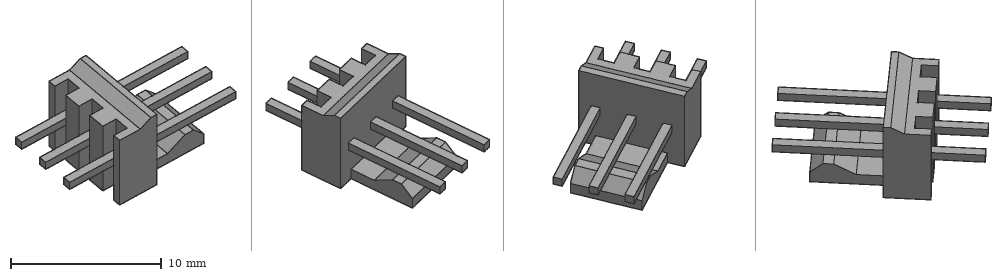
import cadquery as cq

pin_count = 3
pin_pitch = 2.54
pin_size = 0.64
pin_length = 14.22
pin_tail = 3.56
pin_height = 3.15

housing_width = 7.49
housing_depth = 3.18
housing_height = 6.35
lip_depth = 0.5
lip_rise = 0.51
lip_slope_depth = 0.92

slot_width = 1.16
slot_depth = 1.14

ramp_width = 5.08
ramp_length = 5.0
shelf_height = 0.86
catch_height = 1.71
catch_lead_in = 0.89
catch_flat = 0.72
catch_back_slope = 1.5

pin_positions = [(i - (pin_count - 1) / 2) * pin_pitch for i in range(pin_count)]


def extrude_across(outline, width):
    """Extrude a (y, z) outline along X, centred on x = 0."""
    return cq.Workplane("YZ").polyline(outline).close().extrude(width / 2, both=True)


def make_housing():
    shoulder_height = housing_height - lip_rise
    lip_front = housing_depth - lip_depth
    outline = [
        (0, 0),
        (housing_depth, 0),
        (housing_depth, housing_height),
        (lip_front, housing_height),
        (lip_front - lip_slope_depth, shoulder_height),
        (0, shoulder_height),
    ]
    return extrude_across(outline, housing_width)


def make_locking_ramp():
    ramp_end = housing_depth + ramp_length
    flat_end = ramp_end - catch_lead_in
    flat_start = flat_end - catch_flat
    outline = [
        (housing_depth, 0),
        (ramp_end, 0),
        (ramp_end, shelf_height),
        (flat_end, catch_height),
        (flat_start, catch_height),
        (flat_start - catch_back_slope, shelf_height),
        (housing_depth, shelf_height),
    ]
    return extrude_across(outline, ramp_width)


def make_slot(x):
    slot = cq.Workplane("XY").box(slot_width, slot_depth, housing_height, centered=(True, False, False))
    return slot.translate((x, 0, 0))


def make_pin(x):
    pin = cq.Workplane("XY").box(pin_size, pin_length, pin_size, centered=(True, False, True))
    return pin.translate((x, -pin_tail, pin_height))


result = make_housing().union(make_locking_ramp())
for x in pin_positions:
    result = result.cut(make_slot(x))
for x in pin_positions:
    result = result.union(make_pin(x))